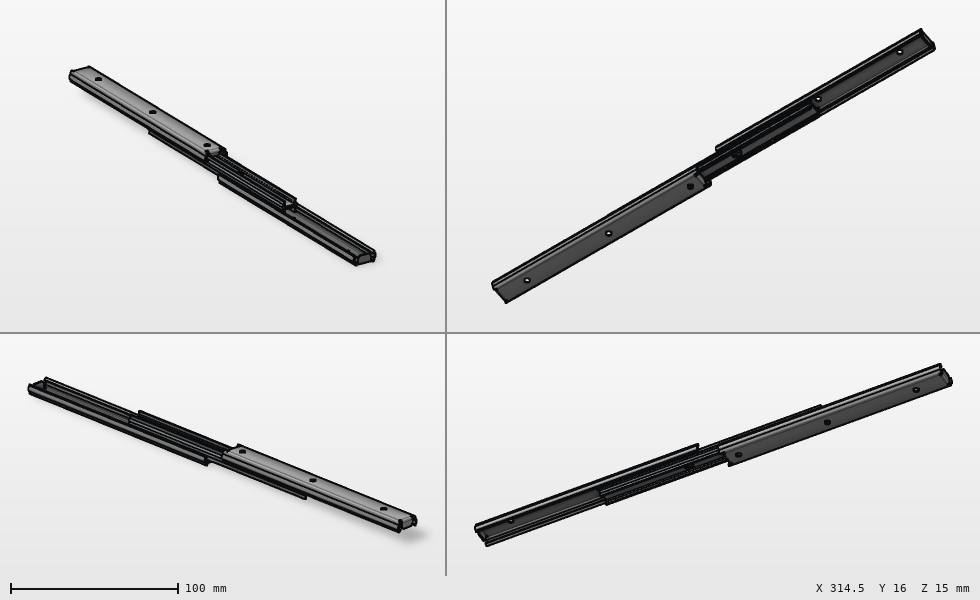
import cadquery as cq


TOTAL_LENGTH = 314.5
OUTER_LENGTH = 150.0
INNER_LENGTH = 149.0
OUTER_WIDTH = 16.0
HALF_HEIGHT = 7.5
SHEET = 1.0
HALF_TURN = 180
DIAGONAL = 0.5**0.5

FLOOR_HALF_WIDTH = 5.5
SIDE_HALF_WIDTH = 7.07
RACE_BOTTOM_Z = -5.2
RACE_TOP_Z = -1.5
LIP_OUTER_Z = -0.47
LIP_INNER_Z = -1.5
LIP_INNER_HALF_WIDTH = 5.7
INNER_RACE_HALF_HEIGHT = 1.3

NOTCH_HALF_WIDTH = 5.82
STOP_BEND_RADIUS = 1.5
STOP_HALF_WIDTH = 4.5
STOP_TOP_Z = -1.5
STOP_CORNER = 1.3
CATCH_BEND_RADIUS = 1.73
CATCH_SETBACK = 1.1
CATCH_HALF_WIDTH = 4.25
CATCH_TIP_HALF_WIDTH = 2.2
CATCH_TOP_Z = -3.5

WEB_HALF_WIDTH = 4.0
FLANGE_TIP_HALF_WIDTH = 4.5
FLANGE_INNER_HALF_WIDTH = 3.5
FLANGE_TIP_Z = 4.5

HOLE_RADIUS = 1.73
HOLE_PITCH = 60.0
FIRST_HOLE_X = 17.0
HOLES_PER_RAIL = 3
ACCESS_RADIUS = 3.0

OUTER_END_X = TOTAL_LENGTH / 2
OUTER_START_X = OUTER_END_X - OUTER_LENGTH
CATCH_X = OUTER_START_X + CATCH_SETBACK
FLOOR_Z = -HALF_HEIGHT


def turned(body):
    """The body after half a turn about Y."""
    return body.rotate((0, 0, 0), (0, 1, 0), HALF_TURN)


def channel(section, start_x, length):
    """Extrude a half section in Y and Z along X, and mirror it to both sides."""
    half = section.extrude(length).translate((start_x, 0, 0))
    return half.union(half.mirror("XZ"))


def outer_section():
    """Half of the outer rail: floor, rounded corner, rounded race and a turned-in lip."""
    corner_radius = SIDE_HALF_WIDTH - FLOOR_HALF_WIDTH
    corner_z = FLOOR_Z + corner_radius
    inner_corner_radius = corner_radius - SHEET
    race_z = (RACE_BOTTOM_Z + RACE_TOP_Z) / 2
    race_y = OUTER_WIDTH / 2
    inside_y = SIDE_HALF_WIDTH - SHEET
    return (
        cq.Workplane("YZ")
        .moveTo(0, FLOOR_Z)
        .lineTo(FLOOR_HALF_WIDTH, FLOOR_Z)
        .threePointArc(
            (FLOOR_HALF_WIDTH + corner_radius * DIAGONAL, corner_z - corner_radius * DIAGONAL),
            (SIDE_HALF_WIDTH, corner_z),
        )
        .lineTo(SIDE_HALF_WIDTH, RACE_BOTTOM_Z)
        .threePointArc((race_y, race_z), (SIDE_HALF_WIDTH, RACE_TOP_Z))
        .lineTo(SIDE_HALF_WIDTH, LIP_OUTER_Z)
        .lineTo(LIP_INNER_HALF_WIDTH, LIP_INNER_Z)
        .lineTo(LIP_INNER_HALF_WIDTH, race_z + INNER_RACE_HALF_HEIGHT)
        .threePointArc((race_y - SHEET, race_z), (inside_y, race_z - INNER_RACE_HALF_HEIGHT))
        .lineTo(inside_y, corner_z)
        .threePointArc(
            (
                FLOOR_HALF_WIDTH + inner_corner_radius * DIAGONAL,
                corner_z - inner_corner_radius * DIAGONAL,
            ),
            (FLOOR_HALF_WIDTH, FLOOR_Z + SHEET),
        )
        .lineTo(0, FLOOR_Z + SHEET)
        .close()
    )


def bent_tab(face_x, direction, bend_radius, top_z, half_width):
    """Sheet tab bent up from the floor; its outside face is at face_x and faces along direction."""
    bend_x = face_x - direction * bend_radius
    bend_z = FLOOR_Z + bend_radius
    inside_radius = bend_radius - SHEET
    return (
        cq.Workplane("XZ")
        .moveTo(bend_x, FLOOR_Z)
        .threePointArc(
            (bend_x + direction * bend_radius * DIAGONAL, bend_z - bend_radius * DIAGONAL),
            (face_x, bend_z),
        )
        .lineTo(face_x, top_z)
        .lineTo(face_x - direction * SHEET, top_z)
        .lineTo(face_x - direction * SHEET, bend_z)
        .threePointArc(
            (bend_x + direction * inside_radius * DIAGONAL, bend_z - inside_radius * DIAGONAL),
            (bend_x, FLOOR_Z + SHEET),
        )
        .close()
        .extrude(half_width, both=True)
    )


def stop_tab():
    """Tall tab with cut corners that closes the outer end."""
    tab = bent_tab(OUTER_END_X, 1, STOP_BEND_RADIUS, STOP_TOP_Z, STOP_HALF_WIDTH)
    return tab.faces(">Z").edges("|X").chamfer(STOP_CORNER)


def catch_tab():
    """Low tapered tab at the inner end, narrow enough to pass between the inner rail's flanges."""
    outline = (
        cq.Workplane("YZ")
        .polyline([
            (-CATCH_HALF_WIDTH, FLOOR_Z),
            (CATCH_HALF_WIDTH, FLOOR_Z),
            (CATCH_HALF_WIDTH, FLOOR_Z + SHEET),
            (CATCH_TIP_HALF_WIDTH, CATCH_TOP_Z),
            (-CATCH_TIP_HALF_WIDTH, CATCH_TOP_Z),
            (-CATCH_HALF_WIDTH, FLOOR_Z + SHEET),
        ])
        .close()
        .extrude(OUTER_END_X)
    )
    return bent_tab(CATCH_X, -1, CATCH_BEND_RADIUS, CATCH_TOP_Z, CATCH_HALF_WIDTH).intersect(outline)


def floor_notch(start_x, end_x):
    """Cutter that removes the floor between two X positions, leaving the side walls."""
    width = 2 * NOTCH_HALF_WIDTH
    return cq.Workplane("XY").box(end_x - start_x, width, 2 * SHEET).translate(
        ((start_x + end_x) / 2, 0, FLOOR_Z)
    )


def lower_outer_rail():
    rail = channel(outer_section(), OUTER_START_X, OUTER_LENGTH)
    rail = rail.cut(floor_notch(OUTER_START_X, CATCH_X + CATCH_BEND_RADIUS))
    rail = rail.cut(floor_notch(OUTER_END_X - STOP_BEND_RADIUS, OUTER_END_X))
    rail = rail.union(catch_tab()).union(stop_tab())
    hole_places = [(FIRST_HOLE_X + i * HOLE_PITCH, 0) for i in range(HOLES_PER_RAIL)]
    holes = (
        cq.Workplane("XY", origin=(0, 0, FLOOR_Z))
        .pushPoints(hole_places)
        .circle(HOLE_RADIUS)
        .extrude(SHEET)
    )
    return rail.cut(holes)


def inner_section():
    """Half of the inner rail: web, half-round fold two sheets high and leaning flange."""
    return (
        cq.Workplane("YZ")
        .lineTo(WEB_HALF_WIDTH, 0)
        .threePointArc((WEB_HALF_WIDTH + SHEET, SHEET), (WEB_HALF_WIDTH, 2 * SHEET))
        .lineTo(FLANGE_TIP_HALF_WIDTH, FLANGE_TIP_Z)
        .lineTo(FLANGE_INNER_HALF_WIDTH, FLANGE_TIP_Z)
        .lineTo(FLANGE_INNER_HALF_WIDTH, SHEET)
        .lineTo(0, SHEET)
        .close()
    )


def upper_inner_rail():
    rail = channel(inner_section(), -INNER_LENGTH / 2, INNER_LENGTH)
    access_holes = (
        cq.Workplane("XY")
        .pushPoints([(-FIRST_HOLE_X, 0), (FIRST_HOLE_X, 0)])
        .circle(ACCESS_RADIUS)
        .extrude(SHEET)
    )
    return rail.cut(access_holes)


outer_rails = [lower_outer_rail(), turned(lower_outer_rail())]
inner_rails = [upper_inner_rail(), turned(upper_inner_rail())]

result = cq.Compound.makeCompound([rail.val() for rail in outer_rails + inner_rails])